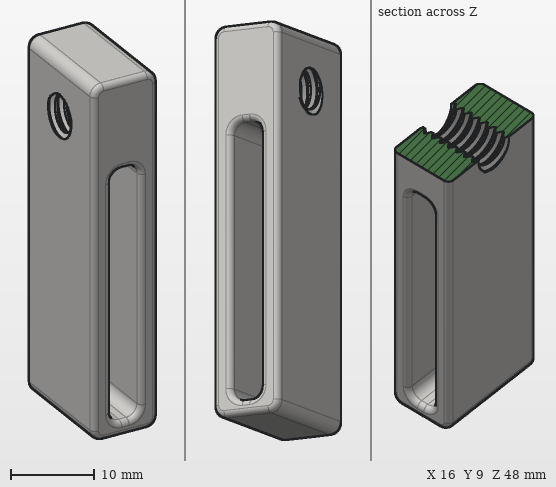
import cadquery as cq

width = 16.0
depth = 9.0
height = 48.0
long_edge_radius = 1.5
rim_radius = 0.75

slot_width = 4.0
slot_bottom = 1.9
slot_top = 36.0
slot_corner_radius = 1.5

hole_center_height = height - 7.0
minor_radius = 2.5
major_radius = 3.15
pitch = 1.27
groove_root_width = 0.16
groove_mouth_width = 0.935
groove_overlap = 0.05
turns_inside = 8
turns_outside = 1


def make_block():
    block = cq.Workplane("XY").box(width, depth, height, centered=(True, True, False))
    return block.edges("|X").fillet(long_edge_radius)


def make_slot():
    slot_height = slot_top - slot_bottom
    slot = cq.Workplane("XY").box(width, slot_width, slot_height, centered=(True, True, False))
    slot = slot.edges("|X").fillet(slot_corner_radius)
    return slot.translate((0, 0, slot_bottom))


def make_thread_groove():
    """Right-hand groove about Z, deepest toward -Y at the level Z = depth / 2."""
    start = depth / 2 - turns_inside * pitch
    length = (turns_inside + turns_outside) * pitch
    path = cq.Wire.makeHelix(pitch, length, minor_radius)
    flank_slope = (groove_mouth_width - groove_root_width) / 2 / (major_radius - minor_radius)
    inner_half = groove_mouth_width / 2 + groove_overlap * flank_slope
    root_half = groove_root_width / 2
    inner_radius = minor_radius - groove_overlap
    section = cq.Workplane("XZ").polyline([
        (inner_radius, -inner_half),
        (major_radius, -root_half),
        (major_radius, root_half),
        (inner_radius, inner_half),
    ]).close()
    groove = section.sweep(cq.Workplane(obj=path), isFrenet=True)
    groove = groove.rotate((0, 0, 0), (0, 0, 1), -90).translate((0, 0, start))
    slab = cq.Workplane("XY").box(width, width, depth)
    return groove.intersect(slab)


def lay_along_y(cutter):
    """Turn a cutter from the Z axis onto the hole axis, +Z becoming -Y."""
    return cutter.rotate((0, 0, 0), (1, 0, 0), 90).translate((0, 0, hole_center_height))


bore = cq.Workplane("XY").circle(minor_radius).extrude(depth / 2, both=True)

result = make_block().cut(make_slot())
result = result.faces("<X or >X").edges().fillet(rim_radius)
result = result.cut(lay_along_y(bore))
result = result.cut(lay_along_y(make_thread_groove()))